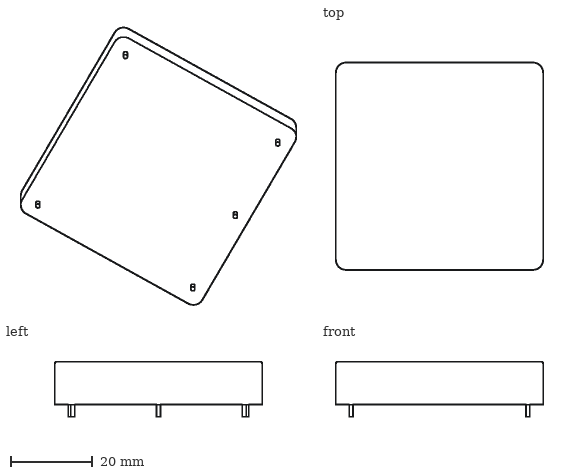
import cadquery as cq

case_side = 50.8
case_height = 10.5
corner_radius = 2.55
top_edge_radius = 0.5

pin_diameter = 1.0
pin_length = 3.0
pin_offset_x = 21.65
near_pin_offset_y = 21.0
far_pin_offset_y = 21.65

pin_places = [(-pin_offset_x, y) for y in (-near_pin_offset_y, 0, near_pin_offset_y)]
pin_places += [(pin_offset_x, y) for y in (-far_pin_offset_y, far_pin_offset_y)]


def make_case():
    """Block resting on Z = 0 with rounded corners and a rounded top rim."""
    block = cq.Workplane("XY").box(case_side, case_side, case_height, centered=(True, True, False))
    return block.edges("|Z").fillet(corner_radius).faces(">Z").edges().fillet(top_edge_radius)


def make_pin(x, y):
    """Round pin hanging down from the underside of the case."""
    return cq.Workplane("XY").center(x, y).circle(pin_diameter / 2).extrude(-pin_length)


case = make_case()
pins = [make_pin(x, y) for x, y in pin_places]

result = cq.Compound.makeCompound([case.val(), *[pin.val() for pin in pins]])